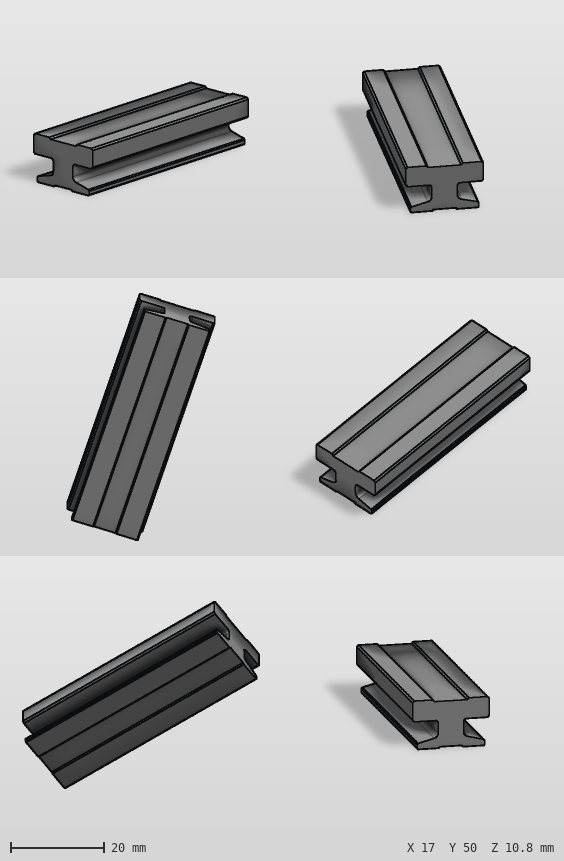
import cadquery as cq

length = 50.0
head_width = 17.0
height = 10.8

head_thickness = 4.6
head_chamfer = 0.4
top_groove_width = 8.0
top_groove_depth = 0.4

web_width = 5.6
head_fillet = 0.7
foot_fillet = 1.2

foot_width = 15.0
foot_edge_height = 1.3
foot_root_height = 2.5
foot_chamfer = 0.25
bottom_groove_width = 5.4
bottom_groove_depth = 0.3

head_bottom = height - head_thickness
selection_margin = 0.05


def right_half_outline():
    """Points of the half profile (x, z), from the bottom centre to the top centre."""
    foot_edge = foot_width / 2
    head_edge = head_width / 2
    web_face = web_width / 2
    bottom_groove_edge = bottom_groove_width / 2
    top_groove_edge = top_groove_width / 2
    return [
        (0, bottom_groove_depth),
        (bottom_groove_edge - bottom_groove_depth, bottom_groove_depth),
        (bottom_groove_edge, 0),
        (foot_edge, 0),
        (foot_edge, foot_edge_height),
        (web_face, foot_root_height),
        (web_face, head_bottom),
        (head_edge - head_chamfer, head_bottom),
        (head_edge, head_bottom + head_chamfer),
        (head_edge, height - head_chamfer),
        (head_edge - head_chamfer, height),
        (top_groove_edge, height),
        (top_groove_edge - top_groove_depth, height - top_groove_depth),
        (0, height - top_groove_depth),
    ]


def lengthwise_edges(rail, half_width, bottom, top):
    """Select the edges along Y within the given half width and height range."""
    selection_box = cq.selectors.BoxSelector(
        (-half_width - selection_margin, -length, bottom - selection_margin),
        (half_width + selection_margin, length, top + selection_margin),
    )
    return rail.edges("|Y").edges(selection_box)


half_rail = (
    cq.Workplane("XZ")
    .polyline(right_half_outline())
    .close()
    .extrude(length / 2, both=True)
)
rail = half_rail.union(half_rail.mirror("YZ")).clean()

rail = lengthwise_edges(rail, web_width / 2, head_bottom, head_bottom).fillet(head_fillet)
rail = lengthwise_edges(rail, web_width / 2, foot_root_height, foot_root_height).fillet(foot_fillet)

foot_corners = [
    edge
    for edge in rail.edges("|Y").vals()
    if abs(abs(edge.Center().x) - foot_width / 2) < selection_margin
    and edge.Center().z < foot_root_height
]
result = rail.newObject(foot_corners).chamfer(foot_chamfer)